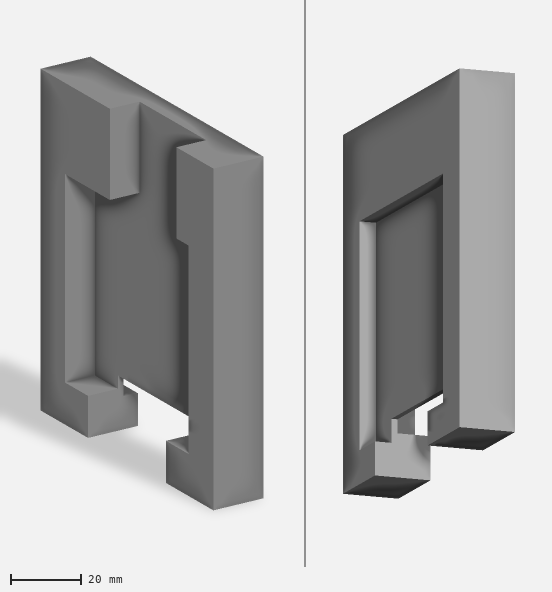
import cadquery as cq

WIDTH = 91.0
HEIGHT = 105.0
DEPTH = 17.0
BACK_THICKNESS = 5.0
FRONT_DEPTH = DEPTH - BACK_THICKNESS

POCKET_WIDTH = 65.1
POCKET_BOTTOM = 12.9
POCKET_TOP = 77.0
POCKET_DEPTH = 10.1

CHANNEL_LEFT = -9.0
CHANNEL_RIGHT = 26.0

NOTCH_WIDTH = 41.0
NOTCH_HEIGHT = 17.0

WINDOW_WIDTH = POCKET_WIDTH
WINDOW_BOTTOM = 10.0
WINDOW_TOP = POCKET_TOP


def block(x_range, y_range, z_range):
    """Box spanning the given ranges."""
    spans = [high - low for low, high in (x_range, y_range, z_range)]
    corner = (x_range[0], y_range[0], z_range[0])
    return cq.Workplane("XY").box(*spans, centered=False).translate(corner)


def centred(width):
    """X range of the given width about the middle plane."""
    return (-width / 2, width / 2)


def make_housing():
    """Front body: a slab with a pocket, a top channel and a bottom notch."""
    body = block(centred(WIDTH), (0, FRONT_DEPTH), (0, HEIGHT))
    pocket = block(centred(POCKET_WIDTH), (0, POCKET_DEPTH), (POCKET_BOTTOM, POCKET_TOP))
    channel = block((CHANNEL_LEFT, CHANNEL_RIGHT), (0, POCKET_DEPTH), (POCKET_TOP, HEIGHT))
    notch = block(centred(NOTCH_WIDTH), (0, FRONT_DEPTH), (0, NOTCH_HEIGHT))
    return body.cut(pocket).cut(channel).cut(notch)


def make_back_plate():
    """Rear body: a frame whose window runs out through the bottom notch."""
    body = block(centred(WIDTH), (FRONT_DEPTH, DEPTH), (0, HEIGHT))
    window = block(centred(WINDOW_WIDTH), (FRONT_DEPTH, DEPTH), (WINDOW_BOTTOM, WINDOW_TOP))
    notch = block(centred(NOTCH_WIDTH), (FRONT_DEPTH, DEPTH), (0, NOTCH_HEIGHT))
    return body.cut(window).cut(notch)


housing = make_housing()
back_plate = make_back_plate()
result = cq.Compound.makeCompound([housing.val(), back_plate.val()])